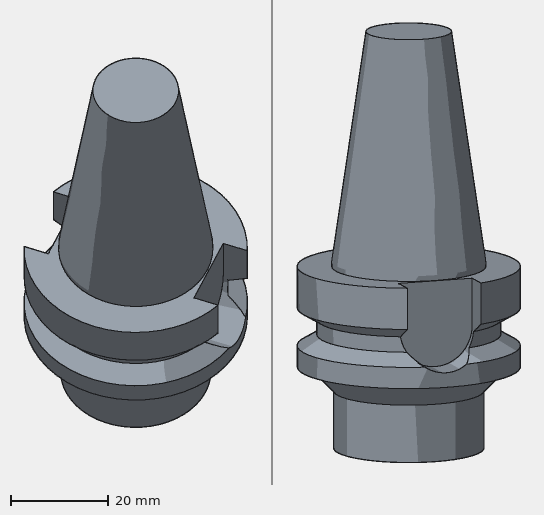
import cadquery as cq

total_height = 87.4
nose_top = 12.1
flange_bottom = 17.0
groove_lower_edge = 21.5
groove_floor_bottom = 23.9
groove_floor_top = 27.1
groove_upper_edge = 29.45
flange_top = 38.1
taper_bottom = 39.15

nose_diameter = 31.0
cone_top_diameter = 40.6
flange_diameter = 46.0
groove_diameter = 37.9
taper_large_diameter = 31.7
taper_ratio = 7 / 24
taper_small_diameter = taper_large_diameter - taper_ratio * (total_height - taper_bottom)

slot_width = 16.1
slot_floor_offset = 16.2
slot_bottom = 20.1


def revolved_body():
    """Solid of revolution about Z from (diameter, height) profile corners."""
    corners = [
        (nose_diameter, 0),
        (nose_diameter, nose_top),
        (cone_top_diameter, flange_bottom),
        (flange_diameter, flange_bottom),
        (flange_diameter, groove_lower_edge),
        (groove_diameter, groove_floor_bottom),
        (groove_diameter, groove_floor_top),
        (flange_diameter, groove_upper_edge),
        (flange_diameter, flange_top),
        (taper_large_diameter, flange_top),
        (taper_large_diameter, taper_bottom),
        (taper_small_diameter, total_height),
    ]
    profile = [(0, 0)] + [(d / 2, z) for d, z in corners] + [(0, total_height)]
    return cq.Workplane("XZ").polyline(profile).close().revolve(360, (0, 0), (0, 1))


def drive_slot(side):
    """Round-bottomed slot cutter, open at the top; side is -1 or +1 along X."""
    radius = slot_width / 2
    arc_center = slot_bottom + radius
    depth = flange_diameter / 2 - slot_floor_offset
    return (
        cq.Workplane("YZ", origin=(side * slot_floor_offset, 0, 0))
        .moveTo(-radius, flange_top)
        .lineTo(-radius, arc_center)
        .threePointArc((0, slot_bottom), (radius, arc_center))
        .lineTo(radius, flange_top)
        .close()
        .extrude(side * depth)
    )


result = revolved_body()
for side in (-1, 1):
    result = result.cut(drive_slot(side))